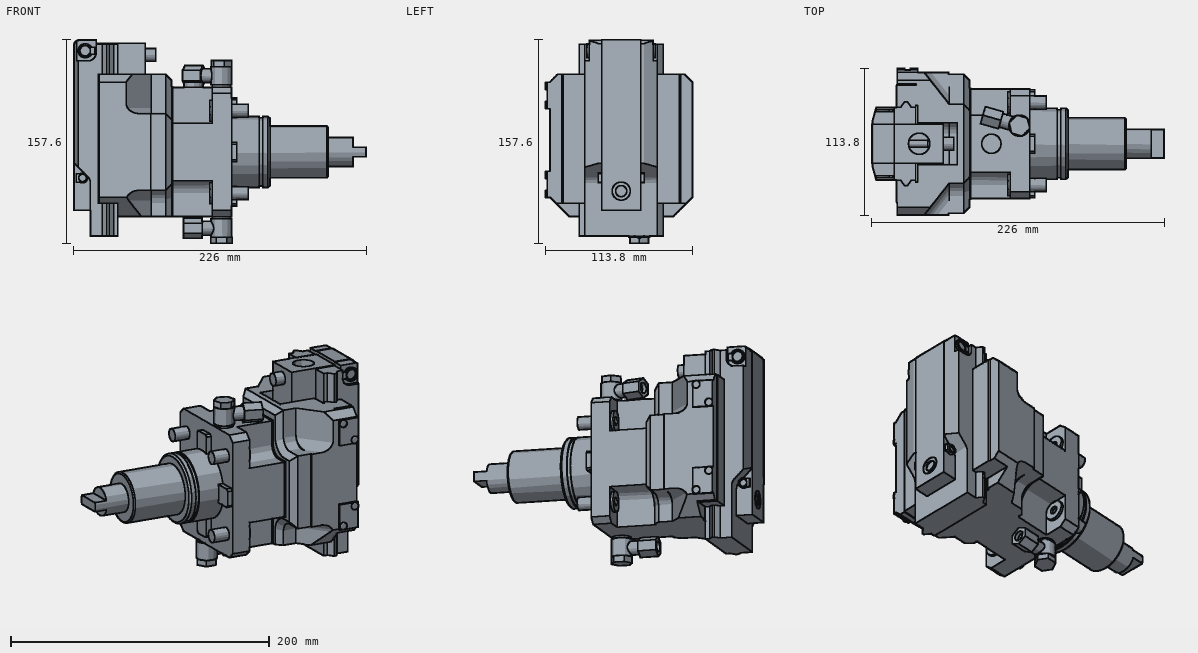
import cadquery as cq
import math


SLIDE_REAR_X = 12.9
BODY_REAR_X = 19.0
SLIDE_FRONT_X = 34.1
WIDE_FRONT_X = 59.5
BODY_FRONT_X = 75.7
FLANGE_REAR_X = 107.1
FLANGE_FRONT_X = 122.0
COLLAR_FRONT_X = 151.7
SHAFT_FRONT_X = 196.7
NECK_FRONT_X = 215.9
TOTAL_LENGTH = 226.0

BODY_HALF_WIDTH = 55.2
BODY_TOP_Z = 60.1
BODY_TOP_CHAMFER = 6.0
BODY_BOTTOM_CHAMFER = 15.0
BODY_SIDE_STEP = 1.4
BODY_FRONT_CHAMFER = 4.7
JAW_BOTTOM_Z = -39.8
JAW_STEP_Y = 46.1
JAW_STEP_DEPTH = 0.7
JAW_BEVEL_WIDTH = 1.4
SLIT_WIDTH = 0.7

FLANGE_HALF_WIDTH = 42.5
FLANGE_HALF_HEIGHT = 50.0
FLANGE_CHAMFER_Y = 5.5
FLANGE_CHAMFER_Z = 4.7

POCKET_FILLET = 9.7
OBLIQUE_FILLET = 8.1
HUB_POCKET_Y = 22.2
HUB_POCKET_Z = 22.2
HUB_ROOT_LENGTH = 1.0
HUB_ROOT_GROWTH = 0.5
BODY_POCKET_Y = 30.5
BODY_POCKET_Z = 29.5
POCKET_CORNER_X = 60.0
POCKET_EDGE_X = 40.5
BOLT_OFFSET = HUB_POCKET_Y + POCKET_FILLET
BOLT_RADIUS = 10.2 / 2
BOLT_PROTRUSION = 12.9
BOLT_HEAD_RADIUS = 8.1
BOLT_HEAD_HEIGHT = 2.0
BOLT_SOCKET_RADIUS = 3.2
KEY_WIDTH = 15.0
KEY_HEIGHT = 4.0
KEY_OUTER = 41.8
KEY_INNER = 22.5
KEY_CHAMFER = 1.5

COLLAR_RADIUS = 27.5
COLLAR_GROOVE_X = 143.3
COLLAR_GROOVE_WIDTH = 3.0
COLLAR_GROOVE_DEPTH = 1.1
COLLAR_CHAMFER = 1.5
SHAFT_RADIUS = 20.1
SHAFT_CHAMFER = 1.1
NECK_RADIUS = 11.3
TANG_THICKNESS = 7.5

SLIDE_HALF_WIDTH = 28.0
SLIDE_RIB_HALF_WIDTH = 32.5
SLIDE_TOP_Z = 83.5
SLIDE_BOTTOM_Z = -65.0
RIB_START_X = 22.2
RIB_CREST_START_X = 25.5
RIB_CREST_END_X = 27.4
RIB_END_X = 30.7
SLIDE_GAP = 1.4
SLIDE_GAP_HALF_WIDTH = 29.4

COVER_TOP_Z = 86.4
COVER_FRONT_X = 17.5
COVER_ROUND = 4.7
COVER_SLOPE_TOP_Z = -8.4
COVER_BASE_TANGENT = 3.0
COVER_EDGE_X = 3.5
COVER_FLAT_HALF_WIDTH = 17.6
COVER_FLAT_X = 0.5
BAR_HALF_WIDTH = 15.1
BAR_TOP_Z = 86.8
BAR_BOTTOM_Z = -45.2
RECESS_HALF_WIDTH = 24.6
RECESS_BOTTOM_Z = 70.3
RECESS_CORNER_RADIUS = 6.8
COVER_SCREW_X = 8.8
COVER_SCREW_Z = 78.2
COVER_SCREW_RADIUS = 5.5
COVER_SCREW_HEIGHT = 1.8
COVER_SCREW_SOCKET_RADIUS = 4.0
COVER_SCREW_SOCKET_DEPTH = 1.0
COVER_TAB_FRONT_X = 16.3
COVER_TAB_HEIGHT = 5.5
BAR_SCREW_X = 6.8
BAR_SCREW_Z = -20.1
BAR_SCREW_RADIUS = 3.8
BAR_SCREW_SOCKET_RADIUS = 3.0
BAR_SCREW_HEIGHT = 2.7
BAR_SCREW_SOCKET_DEPTH = 1.1
BAR_TAB_X = 1.8
BAR_TAB_HEIGHT = 6.3
BAR_RING_Z = -30.3
BAR_RING_RADIUS = 7.0
BAR_RING_DEPTH = 0.5
BAR_HOLE_RADIUS = 4.3
BAR_HOLE_DEPTH = 1.4

CLAMP_FRONT_X = 55.4
CLAMP_TOP_Z = 84.0
CLAMP_BOTTOM_Z = 43.0
CLAMP_PIN_RADIUS = 10.2 / 2
CLAMP_PIN_LENGTH = 8.1
CLAMP_PIN_Z = 75.0
CLAMP_HOLE_X = 36.6
CLAMP_HOLE_RADIUS = 16.5 / 2
CLAMP_HOLE_DEPTH = 20.3
CLAMP_ROD_RADIUS = 5.7 / 2
CLAMP_ROD_Z = 68.7
CLAMP_ROD_END_X = 43.2
SLOT_HALF_WIDTH = 16.0
SLOT_FRONT_X = 66.0
SLOT_BOTTOM_Z = 38.5
SLOT_STEP_X = 60.0
SLOT_STEP_HEIGHT = 2.3
SLOT_FILLET = 8.1

PLATE_THICKNESS = 2.0
PLATE_REAR_X = BODY_REAR_X + JAW_STEP_DEPTH
PLATE_LENGTH = 16.0
PLATE_HEIGHT = 20.5
UPPER_PLATE_Z = 43.6
LOWER_PLATE_Z = -25.0
PLATE_SCREW_RADIUS = 3.0
PLATE_SCREW_HEIGHT = 1.4
PLATE_SCREW_ROUND = 0.7

FITTING_X = 114.2
FITTING_Y = 14.0
FITTING_RADIUS = 8.1
FITTING_NECK_RADIUS = 7.2
FITTING_NECK_HEIGHT = 1.8
FITTING_BODY_TOP = 15.8
FITTING_TOP = 20.8
CAP_ACROSS_CORNERS = 16.7
ARM_HEIGHT = 9.0
ARM_RADIUS = 5.5
NUT_START = 15.0
NUT_LENGTH = 14.5
NUT_ACROSS_CORNERS = 15.8
NUT_BORE_RADIUS = 4.0
NUT_BORE_DEPTH = 3.5
UPPER_ARM_ANGLE = 164.0
LOWER_ARM_ANGLE = 180.0
PLUG_X = 92.5
PLUG_RADIUS = 7.5
PLUG_HEIGHT = 4.0

CORNERS = [(side, level) for side in (-1, 1) for level in (-1, 1)]


def block(x_range, y_range, z_range):
    """Axis-aligned box between two limits on each axis."""
    sizes = [high - low for low, high in (x_range, y_range, z_range)]
    origin = (x_range[0], y_range[0], z_range[0])
    return cq.Workplane("XY").box(*sizes, centered=False).translate(origin)


def rod(start, direction, radius, length):
    """Round bar from a start point along a direction."""
    return cq.Workplane(cq.Solid.makeCylinder(radius, length, cq.Vector(*start), cq.Vector(*direction)))


def mirrored_outline(points):
    """Close a +Y half outline, listed as (x, y), with its reflection across the X axis."""
    return points + [(x, -y) for x, y in reversed(points)]


def slide_core():
    """Dovetail slide, a vertical bar with a V-shaped guide rib along each side."""
    outline = mirrored_outline([
        (SLIDE_REAR_X, SLIDE_HALF_WIDTH),
        (RIB_START_X, SLIDE_HALF_WIDTH),
        (RIB_CREST_START_X, SLIDE_RIB_HALF_WIDTH),
        (RIB_CREST_END_X, SLIDE_RIB_HALF_WIDTH),
        (RIB_END_X, SLIDE_HALF_WIDTH),
        (SLIDE_FRONT_X, SLIDE_HALF_WIDTH),
    ])
    return (
        cq.Workplane("XY", origin=(0, 0, SLIDE_BOTTOM_Z))
        .polyline(outline).close()
        .extrude(SLIDE_TOP_Z - SLIDE_BOTTOM_Z)
    )


def body_blank():
    """Wide housing with a stepped underside, chamfered long edges and a stepped jaw face."""
    low = -FLANGE_HALF_HEIGHT
    half_outline = [
        (BODY_HALF_WIDTH - BODY_TOP_CHAMFER, BODY_TOP_Z),
        (BODY_HALF_WIDTH, BODY_TOP_Z - BODY_TOP_CHAMFER),
        (BODY_HALF_WIDTH, low + BODY_BOTTOM_CHAMFER),
        (BODY_HALF_WIDTH - BODY_BOTTOM_CHAMFER, low),
    ]
    outline = half_outline + [(-y, z) for y, z in reversed(half_outline)]
    blank = (
        cq.Workplane("YZ", origin=(BODY_REAR_X, 0, 0))
        .polyline(outline).close()
        .extrude(BODY_FRONT_X - BODY_REAR_X)
    )
    wide = (-BODY_HALF_WIDTH, BODY_HALF_WIDTH)
    blank = blank.cut(block((BODY_REAR_X, SLIDE_FRONT_X), wide, (low, JAW_BOTTOM_Z)))
    for side in (-1, 1):
        jaw_step = (
            cq.Workplane("XY", origin=(0, 0, low))
            .moveTo(BODY_REAR_X, side * (JAW_STEP_Y - JAW_BEVEL_WIDTH))
            .lineTo(BODY_REAR_X + JAW_STEP_DEPTH, side * JAW_STEP_Y)
            .lineTo(BODY_REAR_X + JAW_STEP_DEPTH, side * BODY_HALF_WIDTH)
            .lineTo(BODY_REAR_X, side * BODY_HALF_WIDTH)
            .close()
            .extrude(BODY_TOP_Z - low)
        )
        narrow_y = BODY_HALF_WIDTH - BODY_SIDE_STEP
        side_step = block(
            (WIDE_FRONT_X, BODY_FRONT_X),
            sorted((side * narrow_y, side * BODY_HALF_WIDTH)),
            (low, BODY_TOP_Z),
        )
        blank = blank.cut(jaw_step).cut(side_step)
    slit = block(
        (BODY_REAR_X, SLIDE_FRONT_X), (JAW_STEP_Y - SLIT_WIDTH, JAW_STEP_Y), (JAW_BOTTOM_Z, BODY_TOP_Z)
    )
    return blank.cut(slit)


def body_pocket(side, level):
    """Corner pocket with a straight front part, an oblique rear wall and rounded floor edges."""
    slope = (POCKET_CORNER_X - POCKET_EDGE_X) / (BODY_HALF_WIDTH - BODY_POCKET_Y)
    outer_y = 2 * BODY_HALF_WIDTH - BODY_POCKET_Y
    rear_x = POCKET_CORNER_X - slope * (outer_y - BODY_POCKET_Y)
    straight = block(
        (POCKET_CORNER_X, BODY_FRONT_X), (BODY_POCKET_Y, outer_y), (BODY_POCKET_Z, 2 * BODY_TOP_Z)
    )
    straight = straight.edges("|X and <Y and <Z").fillet(POCKET_FILLET)
    oblique = (
        cq.Workplane("XY", origin=(0, 0, BODY_POCKET_Z))
        .moveTo(POCKET_CORNER_X, BODY_POCKET_Y)
        .lineTo(POCKET_CORNER_X, outer_y)
        .lineTo(rear_x, outer_y)
        .close()
        .extrude(BODY_TOP_Z)
    )
    wall_foot = cq.selectors.NearestToPointSelector((POCKET_EDGE_X, BODY_HALF_WIDTH, BODY_POCKET_Z))
    oblique = oblique.faces("<Z").edges(wall_foot).fillet(OBLIQUE_FILLET)
    return place_in_corner(straight.union(oblique), side, level)


def place_in_corner(shape, side, level):
    """Reflect a shape made in the +Y +Z corner into another corner."""
    if side < 0:
        shape = shape.mirror("XZ")
    if level < 0:
        shape = shape.mirror("XY")
    return shape


def slot_part(rear_x, front_x, floor_z):
    """Stretch of the clamp slot with rounded floor edges."""
    part = block((rear_x, front_x), (-SLOT_HALF_WIDTH, SLOT_HALF_WIDTH), (floor_z, SLIDE_TOP_Z))
    return part.faces("<Z").edges("|X").fillet(SLOT_FILLET)


def make_body():
    """Housing with corner pockets, a chamfered front and the slide guide and clamp slot cut in."""
    body = body_blank()
    for side, level in CORNERS:
        body = body.cut(body_pocket(side, level))
    body = body.faces(">X").edges("not <Z").chamfer(BODY_FRONT_CHAMFER)
    gap = block(
        (SLIDE_FRONT_X, SLIDE_FRONT_X + SLIDE_GAP),
        (-SLIDE_GAP_HALF_WIDTH, SLIDE_GAP_HALF_WIDTH),
        (SLIDE_BOTTOM_Z, SLIDE_TOP_Z),
    )
    body = body.cut(slide_core()).cut(gap)
    deep_slot = slot_part(SLIDE_FRONT_X, SLOT_STEP_X, SLOT_BOTTOM_Z)
    shallow_slot = slot_part(SLOT_STEP_X, SLOT_FRONT_X, SLOT_BOTTOM_Z + SLOT_STEP_HEIGHT)
    return body.cut(deep_slot).cut(shallow_slot)


def hub_corner_pocket(growth):
    """Pocket behind the flange in the +Y +Z corner, set outward by a growth of the hub."""
    pocket = block(
        (0, FLANGE_REAR_X),
        (HUB_POCKET_Y + growth, 2 * FLANGE_HALF_WIDTH),
        (HUB_POCKET_Z + growth, 2 * FLANGE_HALF_HEIGHT),
    )
    return pocket.edges("|X and <Y and <Z").fillet(POCKET_FILLET)


def make_hub():
    """Hub and flange in one block, pocketed at each corner, with a slightly thicker root."""
    y, z = FLANGE_HALF_WIDTH, FLANGE_HALF_HEIGHT
    root_y = y + HUB_ROOT_GROWTH
    hub = block((BODY_FRONT_X, FLANGE_FRONT_X), (-y, y), (-z, z))
    root = block(
        (BODY_FRONT_X, BODY_FRONT_X + HUB_ROOT_LENGTH), (-root_y, root_y), (-z, z + HUB_ROOT_GROWTH)
    )
    flange_corner = (
        cq.Workplane("YZ")
        .polyline([(y - FLANGE_CHAMFER_Y, z), (y, z), (y, z - FLANGE_CHAMFER_Z)]).close()
        .extrude(FLANGE_FRONT_X)
    )
    hub_cut = flange_corner.union(hub_corner_pocket(0))
    root_cut = hub_corner_pocket(HUB_ROOT_GROWTH)
    for side, level in CORNERS:
        hub = hub.cut(place_in_corner(hub_cut, side, level))
        root = root.cut(place_in_corner(root_cut, side, level))
    return hub.union(root)


def flange_bolts():
    """Socket heads behind the flange and round bolt ends in front of it."""
    bolts = cq.Workplane()
    for side, level in CORNERS:
        y, z = side * BOLT_OFFSET, level * BOLT_OFFSET
        head_x = FLANGE_REAR_X - BOLT_HEAD_HEIGHT
        head = rod((head_x, y, z), (1, 0, 0), BOLT_HEAD_RADIUS, BOLT_HEAD_HEIGHT)
        socket = rod((head_x, y, z), (1, 0, 0), BOLT_SOCKET_RADIUS, BOLT_HEAD_HEIGHT)
        end = rod((FLANGE_FRONT_X, y, z), (1, 0, 0), BOLT_RADIUS, BOLT_PROTRUSION)
        bolts = bolts.add(head.cut(socket)).add(end)
    return bolts


def flange_keys():
    """Four radial keys on the flange face."""
    half = KEY_WIDTH / 2
    key = block((FLANGE_FRONT_X, FLANGE_FRONT_X + KEY_HEIGHT), (KEY_INNER, KEY_OUTER), (-half, half))
    key = key.edges("|X and >Y").chamfer(KEY_CHAMFER)
    keys = cq.Workplane()
    for quarter in range(4):
        keys = keys.add(key.rotate((0, 0, 0), (1, 0, 0), 90 * quarter))
    return keys


def make_shaft():
    """Turned collar, shaft and neck, ending in a flat drive tang."""
    groove_end_x = COLLAR_GROOVE_X + COLLAR_GROOVE_WIDTH
    groove_radius = COLLAR_RADIUS - COLLAR_GROOVE_DEPTH
    shaft = (
        cq.Workplane("XY")
        .moveTo(FLANGE_FRONT_X, 0)
        .lineTo(FLANGE_FRONT_X, COLLAR_RADIUS)
        .lineTo(COLLAR_GROOVE_X, COLLAR_RADIUS)
        .lineTo(COLLAR_GROOVE_X, groove_radius)
        .lineTo(groove_end_x, groove_radius)
        .lineTo(groove_end_x, COLLAR_RADIUS)
        .lineTo(COLLAR_FRONT_X - COLLAR_CHAMFER, COLLAR_RADIUS)
        .lineTo(COLLAR_FRONT_X, COLLAR_RADIUS - COLLAR_CHAMFER)
        .lineTo(COLLAR_FRONT_X, SHAFT_RADIUS)
        .lineTo(SHAFT_FRONT_X - SHAFT_CHAMFER, SHAFT_RADIUS)
        .lineTo(SHAFT_FRONT_X, SHAFT_RADIUS - SHAFT_CHAMFER)
        .lineTo(SHAFT_FRONT_X, NECK_RADIUS)
        .lineTo(TOTAL_LENGTH, NECK_RADIUS)
        .lineTo(TOTAL_LENGTH, 0)
        .close()
        .revolve(360, (0, 0, 0), (1, 0, 0))
    )
    half = TANG_THICKNESS / 2
    for side in (-1, 1):
        shaft = shaft.cut(
            block(
                (NECK_FRONT_X, TOTAL_LENGTH),
                (-NECK_RADIUS, NECK_RADIUS),
                sorted((side * half, side * NECK_RADIUS)),
            )
        )
    return shaft


def make_cover_shell():
    """Cover with a rounded top edge, raked flanks and a sloped lower end that blends into the slide."""
    base_z = COVER_SLOPE_TOP_Z - SLIDE_REAR_X
    tangent_leg = COVER_BASE_TANGENT * math.sqrt(0.5)
    round_mid = COVER_ROUND * (1 - math.sqrt(0.5))
    profile = (
        cq.Workplane("XZ")
        .moveTo(COVER_FRONT_X, COVER_TOP_Z)
        .lineTo(COVER_ROUND, COVER_TOP_Z)
        .threePointArc((round_mid, COVER_TOP_Z - round_mid), (0, COVER_TOP_Z - COVER_ROUND))
        .lineTo(0, COVER_SLOPE_TOP_Z)
        .lineTo(SLIDE_REAR_X - tangent_leg, base_z + tangent_leg)
        .tangentArcPoint((SLIDE_REAR_X, base_z - COVER_BASE_TANGENT), relative=False)
        .lineTo(COVER_FRONT_X, base_z - COVER_BASE_TANGENT)
        .close()
        .extrude(SLIDE_HALF_WIDTH, both=True)
    )
    plan = mirrored_outline([
        (COVER_FLAT_X, COVER_FLAT_HALF_WIDTH),
        (COVER_EDGE_X, SLIDE_HALF_WIDTH),
        (COVER_FRONT_X, SLIDE_HALF_WIDTH),
    ])
    flanks = (
        cq.Workplane("XY", origin=(0, 0, BAR_BOTTOM_Z))
        .polyline(plan).close()
        .extrude(COVER_TOP_Z - BAR_BOTTOM_Z)
    )
    return profile.intersect(flanks)


def cover_recess(side):
    """Recess for a cover screw in the upper corner of one flank, rounded at its lower front."""
    depth = SLIDE_HALF_WIDTH - RECESS_HALF_WIDTH
    recess = block(
        (0, COVER_FRONT_X),
        (RECESS_HALF_WIDTH, SLIDE_HALF_WIDTH),
        (RECESS_BOTTOM_Z, COVER_TOP_Z),
    )
    recess = recess.edges("|Y and >X and <Z").fillet(RECESS_CORNER_RADIUS)
    screw_start = (COVER_SCREW_X, RECESS_HALF_WIDTH, COVER_SCREW_Z)
    socket_start = (COVER_SCREW_X, RECESS_HALF_WIDTH + COVER_SCREW_SOCKET_DEPTH, COVER_SCREW_Z)
    screw = rod(screw_start, (0, 1, 0), COVER_SCREW_RADIUS, COVER_SCREW_HEIGHT)
    tab = block(
        (COVER_SCREW_X, COVER_TAB_FRONT_X),
        (RECESS_HALF_WIDTH, RECESS_HALF_WIDTH + COVER_SCREW_HEIGHT),
        (COVER_SCREW_Z - COVER_TAB_HEIGHT / 2, COVER_SCREW_Z + COVER_TAB_HEIGHT / 2),
    )
    screw = screw.union(tab).cut(rod(socket_start, (0, 1, 0), COVER_SCREW_SOCKET_RADIUS, depth))
    return place_in_corner(recess.cut(screw), side, 1)


def make_bar():
    """Raised centre bar of the cover with a shallow counterbore near its lower end."""
    bar = block((0, COVER_FRONT_X), (-BAR_HALF_WIDTH, BAR_HALF_WIDTH), (BAR_BOTTOM_Z, BAR_TOP_Z))
    bar = bar.edges("<X and >Z").fillet(COVER_ROUND)
    bar = bar.cut(rod((0, 0, BAR_RING_Z), (1, 0, 0), BAR_RING_RADIUS, BAR_RING_DEPTH))
    return bar.cut(rod((0, 0, BAR_RING_Z), (1, 0, 0), BAR_HOLE_RADIUS, BAR_HOLE_DEPTH))


def bar_screw(side):
    """Screw head with a small locking tab on one side of the bar."""
    start = (BAR_SCREW_X, BAR_HALF_WIDTH, BAR_SCREW_Z)
    socket_y = BAR_HALF_WIDTH + BAR_SCREW_HEIGHT - BAR_SCREW_SOCKET_DEPTH
    screw = rod(start, (0, 1, 0), BAR_SCREW_RADIUS, BAR_SCREW_HEIGHT)
    tab = block(
        (BAR_TAB_X, BAR_SCREW_X),
        (BAR_HALF_WIDTH, BAR_HALF_WIDTH + BAR_SCREW_HEIGHT),
        (BAR_SCREW_Z - BAR_TAB_HEIGHT / 2, BAR_SCREW_Z + BAR_TAB_HEIGHT / 2),
    )
    socket = rod(
        (BAR_SCREW_X, socket_y, BAR_SCREW_Z), (0, 1, 0), BAR_SCREW_SOCKET_RADIUS, BAR_SCREW_SOCKET_DEPTH
    )
    return place_in_corner(screw.union(tab).cut(socket), side, 1)


def make_clamp():
    """Clamp block with a round pin on its front face."""
    clamp = block(
        (SLIDE_REAR_X, CLAMP_FRONT_X), (-BAR_HALF_WIDTH, BAR_HALF_WIDTH), (CLAMP_BOTTOM_Z, CLAMP_TOP_Z)
    )
    pin = rod((CLAMP_FRONT_X, 0, CLAMP_PIN_Z), (1, 0, 0), CLAMP_PIN_RADIUS, CLAMP_PIN_LENGTH)
    return clamp.union(pin)


def clamp_bore():
    """Blind bore volume, leaving the cross rod standing inside it."""
    bore = rod((CLAMP_HOLE_X, 0, CLAMP_TOP_Z), (0, 0, -1), CLAMP_HOLE_RADIUS, CLAMP_HOLE_DEPTH)
    rod_start_x = CLAMP_HOLE_X - CLAMP_HOLE_RADIUS
    cross_rod = rod(
        (rod_start_x, 0, CLAMP_ROD_Z), (1, 0, 0), CLAMP_ROD_RADIUS, CLAMP_ROD_END_X - rod_start_x
    )
    return bore.cut(cross_rod)


def side_plate(centre_z, front_level):
    """Plate on the +Y side with two rounded screw heads on a diagonal.

    The front head sits at the top (front_level 1) or at the bottom (front_level -1).
    """
    centre_x = PLATE_REAR_X + PLATE_LENGTH / 2
    outer_y = BODY_HALF_WIDTH + PLATE_THICKNESS
    plate = block(
        (PLATE_REAR_X, PLATE_REAR_X + PLATE_LENGTH),
        (BODY_HALF_WIDTH, outer_y),
        (centre_z - PLATE_HEIGHT / 2, centre_z + PLATE_HEIGHT / 2),
    )
    for end in (-1, 1):
        x = centre_x + end * (PLATE_LENGTH / 2 - PLATE_SCREW_RADIUS)
        z = centre_z + end * front_level * (PLATE_HEIGHT / 2 - PLATE_SCREW_RADIUS)
        head = rod((x, outer_y, z), (0, 1, 0), PLATE_SCREW_RADIUS, PLATE_SCREW_HEIGHT)
        plate = plate.union(head.faces(">Y").edges().fillet(PLATE_SCREW_ROUND))
    return plate


def make_fitting(arm_angle):
    """Banjo fitting standing on z = 0, with a hexagon cap and a nut at the end of its arm."""
    cap_height = FITTING_TOP - FITTING_BODY_TOP
    barrel_height = FITTING_BODY_TOP - FITTING_NECK_HEIGHT
    fitting = (
        rod((0, 0, 0), (0, 0, 1), FITTING_NECK_RADIUS, FITTING_BODY_TOP)
        .union(rod((0, 0, FITTING_NECK_HEIGHT), (0, 0, 1), FITTING_RADIUS, barrel_height))
        .union(
            cq.Workplane("XY", origin=(0, 0, FITTING_BODY_TOP))
            .polygon(6, CAP_ACROSS_CORNERS).extrude(cap_height)
        )
        .union(rod((0, 0, ARM_HEIGHT), (1, 0, 0), ARM_RADIUS, NUT_START))
    )
    nut = (
        cq.Workplane("YZ", origin=(NUT_START, 0, ARM_HEIGHT))
        .transformed(rotate=(0, 0, 90))
        .polygon(6, NUT_ACROSS_CORNERS)
        .extrude(NUT_LENGTH)
        .faces(">X").workplane()
        .circle(NUT_BORE_RADIUS).cutBlind(-NUT_BORE_DEPTH)
    )
    return fitting.union(nut).rotate((0, 0, 0), (0, 0, 1), arm_angle)


def coolant_fittings():
    """Fittings above and below the flange, and a plug on top of the hub."""
    upper = make_fitting(UPPER_ARM_ANGLE).translate((FITTING_X, FITTING_Y, FLANGE_HALF_HEIGHT))
    lower = make_fitting(LOWER_ARM_ANGLE).mirror("XY")
    lower = lower.translate((FITTING_X, -FITTING_Y, -FLANGE_HALF_HEIGHT))
    plug = rod((PLUG_X, 0, FLANGE_HALF_HEIGHT), (0, 0, 1), PLUG_RADIUS, PLUG_HEIGHT)
    return cq.Workplane().add(upper).add(lower).add(plug)


def join(base, parts):
    """Fuse every shape held by parts onto the base."""
    for part in parts.vals():
        base = base.union(cq.Workplane(part))
    return base


slide = slide_core().union(make_cover_shell())
for flank in (-1, 1):
    slide = slide.cut(cover_recess(flank))
slide = slide.union(make_bar()).union(make_clamp()).cut(clamp_bore())
for flank in (-1, 1):
    slide = slide.union(bar_screw(flank))

holder = make_body().union(make_hub()).union(make_shaft())
holder = join(holder, flange_bolts())
holder = join(holder, flange_keys())
holder = join(holder, coolant_fittings())
holder = holder.union(side_plate(UPPER_PLATE_Z, 1)).union(side_plate(LOWER_PLATE_Z, -1))

result = holder.union(slide)